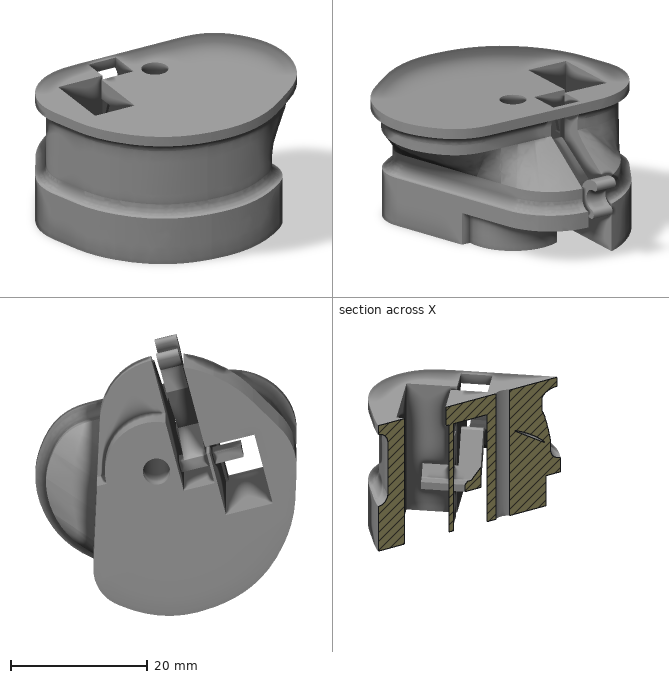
import cadquery as cq
import math

height = 20.9
rim = 1.55
fillet_gap = 0.008
fillet_radius = rim - fillet_gap
base_height = 7.45
step_height = 4.97
boss_radius = 7.58
hole_radius = 2.0

far = 38.25
thin = 0.02

plate_bottom = height - rim
fillet_end = plate_bottom - rim
taper_top = fillet_end - rim
taper_bottom = base_height + 2 * rim


def along(station, distance):
    """Station reached by going straight ahead."""
    x, y, heading = station
    angle = math.radians(heading)
    return (x + distance * math.cos(angle), y + distance * math.sin(angle), heading)


def inset(stations, distance):
    """Stations moved to the left of their heading, that is into the outline."""
    return [along((x, y, heading + 90), distance)[:2] + (heading,) for x, y, heading in stations]


def crossing(first, second):
    """Point on the straight line through the first station that also lies ahead of the second."""
    ax, ay, a_heading = first
    bx, by, b_heading = second
    a = math.radians(a_heading)
    b = math.radians(b_heading)
    reach = ((bx - ax) * math.sin(b) - (by - ay) * math.cos(b)) / math.sin(b - a)
    return along(first, reach)


def subdivide(start, end, pieces):
    """Stations that cut a straight stretch into equal pieces, end excluded."""
    step = math.dist(start[:2], end[:2]) / pieces
    return [along(start, i * step) for i in range(pieces)]


def wire_at(stations, z):
    """Smooth closed wire: lines between equal headings, curves elsewhere."""
    edges = []
    for start, end in zip(stations, stations[1:] + stations[:1]):
        p = cq.Vector(start[0], start[1], z)
        q = cq.Vector(end[0], end[1], z)
        if start[2] == end[2]:
            edges.append(cq.Edge.makeLine(p, q))
        else:
            tangents = [cq.Vector(*along((0, 0, s[2]), 1)[:2], 0) for s in (start, end)]
            edges.append(cq.Edge.makeSpline([p, q], tangents=tangents, scale=True))
    return cq.Wire.assembleEdges(edges)


def prism(stations, bottom, top):
    face = cq.Face.makeFromWires(wire_at(stations, bottom))
    return cq.Workplane(obj=cq.Solid.extrudeLinear(face, cq.Vector(0, 0, top - bottom)))


corner_start = (-13.43, -13.7, 291.5)
corner_end = (-8.15, -18.85, 339)
big_center = (2.4, -3.05)
big_radius = 18.48
big_arc = [
    along((*big_center, heading - 90), big_radius)[:2] + (heading,) for heading in (0, 45, 90)
]
front_edge_length = 4.35
shared = [corner_start, corner_end, along(corner_end, front_edge_length)] + big_arc

plate_edge_start = (-0.42, 10.8, 232)
plate_edge_length = 17.35
plate_edge_end = along(plate_edge_start, plate_edge_length)
plate_corner = (-14.05, -9.6, 266)
right_edge_length = 3.83
plate_lobe = [along(big_arc[-1], right_edge_length), (17.3, 10.52, 131.6), (12.15, 14.08, 159), (7.55, 14.8, 180)]
plate_outline = shared + plate_lobe + [plate_edge_start, plate_edge_end, plate_corner]

base_edge_end = (-2.9, 10.33, 159)
base_edge_length = 21.4
base_edge_start = along(base_edge_end, -base_edge_length)
base_corner = [(19.9, 0.42, 124.5), base_edge_start]
bulge = [base_edge_end, (-7.55, 10.7, 188.8), (-14.25, 6.55, 232.1), (-16.72, -1.8, 270.3)]
bulge_edge_length = 5.3
bulge_edge_start = along(corner_start, -bulge_edge_length)
base_outline = shared + base_corner + bulge + [bulge_edge_start]

def flange(outline, flange_bottom, flange_top, neck_bottom, neck_top, fillet_z):
    """Flange with a short straight neck, blended by a concave fillet at fillet_z."""
    body = prism(outline, flange_bottom, flange_top)
    body = body.union(prism(inset(outline, rim), neck_bottom, neck_top))
    band = cq.selectors.BoxSelector(
        (-far, -far, fillet_z - thin), (far, far, fillet_z + thin)
    )
    wires = body.faces(band).wires().vals()
    length = wire_at(inset(outline, rim), fillet_z).Length()
    neck_wire = min(wires, key=lambda wire: abs(wire.Length() - length))
    return cq.Workplane(obj=body.val().fillet(fillet_radius, neck_wire.Edges()))


def tapered_neck():
    """Straight-ruled blend from the base outline to the plate outline."""
    common = inset(shared, rim)
    top_edge = inset([plate_edge_start, plate_edge_end], rim)
    low_edge = inset([base_edge_start, base_edge_end], rim)
    top_cross = crossing(top_edge[0], low_edge[0])
    low_cross = top_cross[:2] + (base_edge_end[2],)
    upper = common + inset(plate_lobe, rim) + [top_edge[0]]
    upper += subdivide(top_cross, top_edge[1], len(bulge) + 1) + inset([plate_edge_end, plate_corner], rim)
    lower = common + inset(base_corner[:1], rim)
    lower += subdivide(low_edge[0], low_cross, len(plate_lobe)) + [low_cross]
    lower += inset(bulge + subdivide(bulge_edge_start, corner_start, 2), rim)
    wires = [wire_at(lower, taper_bottom), wire_at(upper, taper_top)]
    blend = cq.occ_impl.shapes.loft(wires, cap=True, ruled=True, compat=False)
    return cq.Workplane(obj=blend)


base = flange(base_outline, 0, base_height, base_height, taper_bottom, base_height)
plate = flange(plate_outline, plate_bottom, height, taper_top, plate_bottom, plate_bottom)
body = base.union(tapered_neck()).union(plate)

slot_angle = 38
frame = cq.Location(cq.Vector(0, 0, 0), cq.Vector(0, 0, 1), -slot_angle)


def box(u, v, z):
    """Block between two values of u, v and z in the lever frame."""
    block = cq.Workplane().box(u[1] - u[0], v[1] - v[0], z[1] - z[0], centered=False)
    return block.translate((u[0], v[0], z[0])).val().moved(frame)


def profile_solid(profile, v):
    """Outline drawn in u and z, extruded from v[0] to v[1] in the lever frame."""
    return profile.extrude(v[0] - v[1]).translate((0, v[0], 0)).val().moved(frame)


slot_v = (-7.8, -3.15)
window_u = (-6.0, -0.8)
cavity_end = 3.83
pocket_u = (-1.87, 8.95)
pocket_v = (-15.3, -8.6)
recess_v = -8.23
link_u = (pocket_u[0], window_u[1])

body = body.cut(cq.Workplane().circle(hole_radius).extrude(height))
body = body.cut(box((-far, window_u[0]), slot_v, (0, plate_bottom)))
body = body.cut(box(window_u, slot_v, (0, height)))
body = body.cut(box((window_u[1], cavity_end), slot_v, (0, fillet_end)))
body = body.cut(box(pocket_u, pocket_v, (0, height)))
body = body.cut(box(pocket_u, (pocket_v[1], recess_v), (0, fillet_end)))
body = body.cut(box(link_u, (pocket_v[1], slot_v[0]), (0, height)))

boss = cq.Workplane().circle(boss_radius).extrude(step_height)
clearance = cq.Workplane(obj=box((-far, 0), (slot_v[0], far), (0, step_height)))
body = body.cut(clearance.cut(boss))

opening_width = 1.45
opening_top_u = 0.5
opening_lean = 1.22
opening_bottom = 14.15
opening_bottom_u = opening_top_u - opening_lean
opening = cq.Workplane("XZ").polyline([
    (opening_top_u, fillet_end),
    (opening_top_u + opening_width, fillet_end),
    (opening_bottom_u + opening_width, opening_bottom),
    (opening_bottom_u, opening_bottom),
]).close()
body = body.cut(profile_solid(opening, (recess_v, slot_v[0])))

lever_v = (-7.2, -3.9)
clip_u = -15.2
clip_z = 9.05
clip_inner = 1.55
clip_outer = 3.05
tip_radius = (clip_outer - clip_inner) / 2
tip_mid = (clip_outer + clip_inner) / 2
upper_tip_u = -15.7
lower_tip_angle = -80
arm_top = 9.75
arm_joint_u = -12.25
pin_anchor = 0.4
pin_v = (-12.5, slot_v[1] + pin_anchor)


def clip_point(radius, angle):
    turn = math.radians(angle)
    return (clip_u + radius * math.cos(turn), clip_z + radius * math.sin(turn))


def clip():
    tip_turn = math.radians(lower_tip_angle)
    lower_tip = clip_point(tip_mid, lower_tip_angle)
    lower_end = (
        lower_tip[0] + tip_radius * math.sin(tip_turn),
        lower_tip[1] - tip_radius * math.cos(tip_turn),
    )
    profile = (
        cq.Workplane("XZ")
        .moveTo(upper_tip_u, clip_z + clip_outer)
        .lineTo(clip_u, clip_z + clip_outer)
        .threePointArc(clip_point(clip_outer, 0), clip_point(clip_outer, lower_tip_angle))
        .threePointArc(lower_end, clip_point(clip_inner, lower_tip_angle))
        .threePointArc(clip_point(clip_inner, 0), clip_point(clip_inner, 90))
        .lineTo(upper_tip_u, clip_z + clip_inner)
        .threePointArc((upper_tip_u - tip_radius, clip_z + tip_mid), (upper_tip_u, clip_z + clip_outer))
        .close()
    )
    return profile_solid(profile, lever_v)


arm_start_u = arm_joint_u - 0.75
arm_flat_u = -11.65
fillet_start_rise = 0.6
fillet_mid_rise = 0.25
arm_rise_u = -9.35
knee_start_u = -2.53
knee_end_u = -1.7
arm_slope = math.tan(math.radians(32))
drop_slope = math.tan(math.radians(60))
arm_thickness = 2.68
knee_z = arm_top + arm_slope * (knee_start_u - arm_rise_u)
knee_crown = 0.15

pin_u = (1.0, 2.68)
pin_flat_u = (2.0, 2.37)
pin_height = 1.7
pin_top = knee_z - drop_slope * (pin_flat_u[0] - knee_end_u)
pin_slope_start = knee_z - drop_slope * (pin_u[0] - knee_end_u)
pin_shoulder = pin_top - drop_slope * (pin_u[1] - pin_flat_u[1])
pin_bottom = pin_top - pin_height

arm = (
    cq.Workplane("XZ")
    .moveTo(arm_start_u, arm_top + fillet_start_rise)
    .lineTo(arm_joint_u, arm_top + fillet_mid_rise)
    .lineTo(arm_flat_u, arm_top)
    .lineTo(arm_rise_u, arm_top)
    .lineTo(knee_start_u, knee_z)
    .threePointArc(((knee_start_u + knee_end_u) / 2, knee_z + knee_crown), (knee_end_u, knee_z))
    .lineTo(pin_u[0], pin_slope_start)
    .lineTo(pin_u[0], pin_bottom)
    .lineTo(knee_start_u, knee_z - arm_thickness)
    .lineTo(arm_rise_u, arm_top - arm_thickness)
    .lineTo(arm_start_u, arm_top - arm_thickness)
    .close()
)
pin = cq.Workplane("XZ").polyline([
    (pin_u[0], pin_slope_start),
    (pin_flat_u[0], pin_top),
    (pin_flat_u[1], pin_top),
    (pin_u[1], pin_shoulder),
    (pin_u[1], pin_bottom),
    (pin_u[0], pin_bottom),
]).close()

lever = cq.Workplane(obj=clip()).union(profile_solid(arm, lever_v)).union(profile_solid(pin, pin_v))
result = body.union(lever)